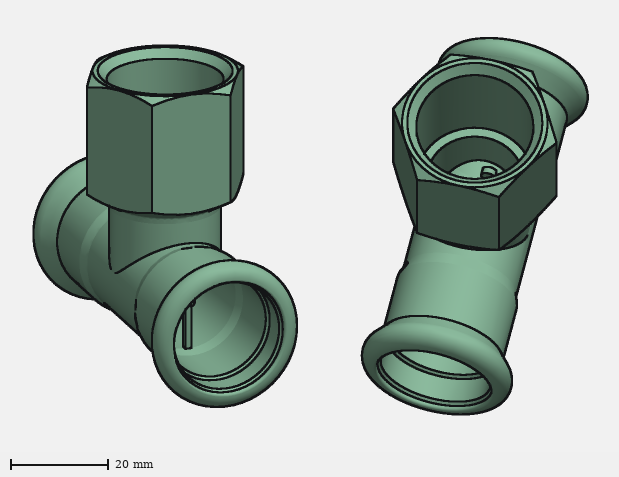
import cadquery as cq
import math

run_half_length = 37.0
run_radius = 12.0
run_bore_radius = 10.4
socket_radius = 12.7
socket_bore_radius = 11.0
seal_bore_radius = 11.6
seal_bore_depth = 7.3
seal_step_depth = 8.0
step_inner_x = 13.4
step_outer_x = 16.05

bead_radius = 3.1
bead_cone_angle = math.radians(38)
bead_center_x = run_half_length - bead_radius
bead_center_radius = socket_radius
lip_round = 0.6
lip_radius = bead_center_radius - lip_round
lip_depth = 1.2
lip_cone_end_depth = 1.9

neck_radius = 11.55
neck_bore_radius = 10.0
neck_top_z = 16.5
hex_across_flats = 30.0
hex_top_z = 45.95
hex_cone_slope = math.tan(math.radians(30))
hex_flat_bottom_z = 19.75
hex_cone_end_radius = 11.9
thread_bore_radius = 12.05
thread_mouth_radius = 13.9
thread_mouth_depth = 1.85
thread_floor_z = 20.7

pin_radius = 1.5
web_thickness = 1.25
key_start_x = 11.85
key_length = 1.5

hex_flat_radius = hex_across_flats / 2
hex_corner_diameter = hex_across_flats / math.cos(math.radians(30))
hex_cone_end_z = hex_flat_bottom_z - (hex_flat_radius - hex_cone_end_radius) * hex_cone_slope


def bead_point(angle):
    """Point on the bead circle, with the angle measured from +X toward larger radius."""
    return (
        bead_center_x + bead_radius * math.cos(angle),
        bead_center_radius + bead_radius * math.sin(angle),
    )


def make_socket_envelope():
    """Outer solid of the +X half of the run."""
    cone_start_angle = math.pi / 2 + bead_cone_angle
    cone_start = bead_point(cone_start_angle)
    cone_run = (cone_start[1] - socket_radius) / math.tan(bead_cone_angle)
    return (
        cq.Workplane("XY")
        .moveTo(0, 0)
        .lineTo(0, run_radius)
        .lineTo(step_inner_x, run_radius)
        .spline(
            [(step_outer_x, socket_radius)],
            tangents=[(1, 0), (1, 0)],
            includeCurrent=True,
        )
        .lineTo(cone_start[0] - cone_run, socket_radius)
        .lineTo(*cone_start)
        .threePointArc(bead_point(cone_start_angle / 2), (run_half_length, bead_center_radius))
        .tangentArcPoint((run_half_length - lip_round, lip_radius), relative=False)
        .lineTo(run_half_length - lip_round, 0)
        .close()
        .revolve(360, (0, 0, 0), (1, 0, 0))
    )


def make_socket_bore():
    """Stepped bore of the +X half of the run."""
    return (
        cq.Workplane("XY")
        .moveTo(0, 0)
        .lineTo(0, run_bore_radius)
        .lineTo(step_inner_x, run_bore_radius)
        .lineTo(step_outer_x, socket_bore_radius)
        .lineTo(run_half_length - seal_step_depth, socket_bore_radius)
        .lineTo(run_half_length - seal_bore_depth, seal_bore_radius)
        .lineTo(run_half_length - lip_cone_end_depth, seal_bore_radius)
        .lineTo(run_half_length - lip_depth, lip_radius)
        .lineTo(run_half_length, lip_radius)
        .lineTo(run_half_length, 0)
        .close()
        .revolve(360, (0, 0, 0), (1, 0, 0))
    )


def both_ends(half):
    """Join a +X half with its mirror image."""
    return half.union(half.mirror("YZ"))


def make_hex_end():
    """Hexagon with conical corners at both ends, narrowing to the neck below."""
    prism = (
        cq.Workplane("XY", origin=(0, 0, neck_top_z))
        .polygon(6, hex_corner_diameter)
        .extrude(hex_top_z - neck_top_z)
        .rotate((0, 0, 0), (0, 0, 1), 30)
    )
    corner_radius = hex_corner_diameter / 2
    corner_drop = (corner_radius - hex_flat_radius) * hex_cone_slope
    envelope = (
        cq.Workplane("XZ")
        .moveTo(0, neck_top_z)
        .lineTo(neck_radius, neck_top_z)
        .spline(
            [(hex_cone_end_radius, hex_cone_end_z)],
            tangents=[(0, 1), (1, hex_cone_slope)],
            includeCurrent=True,
        )
        .lineTo(corner_radius, hex_flat_bottom_z + corner_drop)
        .lineTo(corner_radius, hex_top_z - corner_drop)
        .lineTo(hex_flat_radius, hex_top_z)
        .lineTo(0, hex_top_z)
        .close()
        .revolve(360, (0, 0, 0), (0, 1, 0))
    )
    return prism.intersect(envelope)


def make_branch_bore():
    """Countersunk threaded-end bore above the narrower neck bore."""
    return (
        cq.Workplane("XZ")
        .lineTo(neck_bore_radius, 0)
        .lineTo(neck_bore_radius, thread_floor_z)
        .lineTo(thread_bore_radius, thread_floor_z)
        .lineTo(thread_bore_radius, hex_top_z - thread_mouth_depth)
        .lineTo(thread_mouth_radius, hex_top_z)
        .lineTo(0, hex_top_z)
        .close()
        .revolve(360, (0, 0, 0), (0, 1, 0))
    )


def make_key():
    """Pin on the run axis with a web down into the bottom wall of the run."""
    web_depth = (run_bore_radius + run_radius) / 2
    key_plane = cq.Workplane("YZ", origin=(key_start_x, 0, 0))
    pin = key_plane.circle(pin_radius).extrude(key_length)
    web = key_plane.center(0, -web_depth / 2).rect(web_thickness, web_depth).extrude(key_length)
    return pin.union(web)


neck = cq.Workplane("XY").circle(neck_radius).extrude(neck_top_z)
body = both_ends(make_socket_envelope()).union(neck).union(make_hex_end())
hollow = body.cut(both_ends(make_socket_bore())).cut(make_branch_bore())
result = hollow.union(make_key())